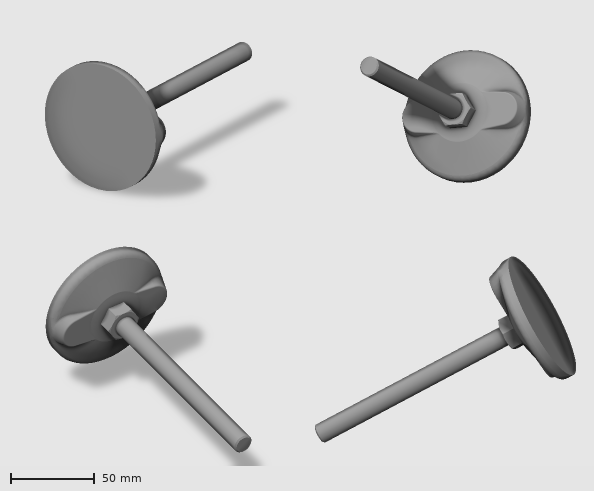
import cadquery as cq
import math

TOTAL_LENGTH = 155.0
SLOPE_ANGLE = math.radians(20.0)

FOOT_RADIUS = 40.0
RIM_HEIGHT = 4.3
RIM_ROUND = 4.0
CROWN_BASE = 15.2
CROWN_RADIUS = 124.0

LUG_CENTER = 27.1
LUG_TOP_RADIUS = 10.0
LUG_FLANK_ANGLE = math.radians(7.0)
LUG_EDGE_ROUND = 1.0
LUG_ROOT_ROUND = 1.0

ROD_RADIUS = 6.0
ROD_CHAMFER = 1.0
HEX_ACROSS_FLATS = 19.0
HEX_ACROSS_CORNERS = HEX_ACROSS_FLATS / math.cos(math.radians(30.0))
HEX_CHAMFER_ANGLE = math.radians(30.0)
SEAT_HEIGHT = 15.8
HEX_TOP = 25.0

CONE_FOOT_RADIUS = FOOT_RADIUS - RIM_ROUND * (1 - math.sin(SLOPE_ANGLE))
CONE_FOOT_HEIGHT = RIM_HEIGHT + RIM_ROUND * math.cos(SLOPE_ANGLE)
CROWN_BASE_RADIUS = CONE_FOOT_RADIUS - (CROWN_BASE - CONE_FOOT_HEIGHT) / math.tan(SLOPE_ANGLE)

BLANK_RADIUS = 1.5 * FOOT_RADIUS
BLANK_TOP = 1.05 * CROWN_BASE
BLANK_BOTTOM = CROWN_BASE - BLANK_RADIUS * math.tan(SLOPE_ANGLE)
RIM_SAMPLE = 0.3
TOLERANCE = 0.002


def make_blank_cone():
    """Turn the cone of the pad, carried on to its tip and past the rim."""
    tip = CROWN_BASE + CROWN_BASE_RADIUS * math.tan(SLOPE_ANGLE)
    edge = tip - BLANK_RADIUS * math.tan(SLOPE_ANGLE)
    return (
        cq.Workplane("XY")
        .polyline([(0, BLANK_BOTTOM), (BLANK_RADIUS, BLANK_BOTTOM), (BLANK_RADIUS, edge), (0, tip)])
        .close()
        .revolve(360, (0, 0, 0), (0, 1, 0))
    )


def make_blank_bar():
    """Make one drafted bar, widest in the middle and round at both ends, which become the lugs."""
    end_radius = LUG_TOP_RADIUS + (CROWN_BASE - BLANK_BOTTOM) * math.tan(SLOPE_ANGLE)
    end_x = LUG_CENTER + end_radius
    tangent_x = LUG_CENTER + end_radius * math.sin(LUG_FLANK_ANGLE)
    tangent_z = end_radius * math.cos(LUG_FLANK_ANGLE)
    middle_z = tangent_z + tangent_x * math.tan(LUG_FLANK_ANGLE)
    return (
        cq.Workplane("XZ", origin=(0, BLANK_BOTTOM, 0))
        .moveTo(0, middle_z)
        .lineTo(tangent_x, tangent_z)
        .threePointArc((end_x, 0), (tangent_x, -tangent_z))
        .lineTo(0, -middle_z)
        .lineTo(-tangent_x, -tangent_z)
        .threePointArc((-end_x, 0), (-tangent_x, tangent_z))
        .close()
        .extrude(BLANK_BOTTOM - BLANK_TOP, taper=math.degrees(SLOPE_ANGLE))
    )


def is_bar_joint(edge):
    """Tell whether an edge of the blank lies where the bar comes out of the cone."""
    return edge.geomType() in ("HYPERBOLA", "BSPLINE") and edge.BoundingBox().ymin > 0


def is_upper_rim(edge):
    """Tell whether an edge of the pad runs round its cylinder, above the underside."""
    box = edge.BoundingBox()
    point = edge.positionAt(RIM_SAMPLE)
    on_cylinder = math.hypot(point.x, point.z) > FOOT_RADIUS - TOLERANCE
    return on_cylinder and box.ymin > 0 and box.ymax < CONE_FOOT_HEIGHT


def make_pad():
    """Join cone and bar with hollow roots, trim them to the pad, then round rim and lug edges."""
    blank = make_blank_cone().union(make_blank_bar())
    bar_joints = [edge for edge in blank.edges().vals() if is_bar_joint(edge)]
    blank = blank.newObject(bar_joints).fillet(LUG_ROOT_ROUND)

    pad = blank.intersect(cq.Workplane("XZ").circle(FOOT_RADIUS).extrude(-CROWN_BASE))
    upper_rim = [edge for edge in pad.edges().vals() if is_upper_rim(edge)]
    pad = pad.newObject(upper_rim).fillet(RIM_ROUND)
    return pad.faces(">Y").edges().fillet(LUG_EDGE_ROUND)


def make_crown():
    """Turn the shallow spherical cap that closes the cone."""
    center = CROWN_BASE - math.sqrt(CROWN_RADIUS**2 - CROWN_BASE_RADIUS**2)
    half_angle = math.asin(CROWN_BASE_RADIUS / CROWN_RADIUS) / 2
    middle = (CROWN_RADIUS * math.sin(half_angle), center + CROWN_RADIUS * math.cos(half_angle))
    return (
        cq.Workplane("XY")
        .moveTo(0, CROWN_BASE)
        .lineTo(CROWN_BASE_RADIUS, CROWN_BASE)
        .threePointArc(middle, (0, center + CROWN_RADIUS))
        .close()
        .revolve(360, (0, 0, 0), (0, 1, 0))
    )


def make_hexagon():
    """Make the plain hexagonal prism of the collar."""
    return (
        cq.Workplane("XZ", origin=(0, SEAT_HEIGHT, 0))
        .polygon(6, HEX_ACROSS_CORNERS)
        .extrude(SEAT_HEIGHT - HEX_TOP)
    )


def make_foot():
    """Put the crown on the pad and sink the seat for the collar into it."""
    return make_pad().union(make_crown()).cut(make_hexagon())


def make_stud():
    """Make the rod and its hexagonal collar, whose upper corners are turned to a cone."""
    corner_overhang = (HEX_ACROSS_CORNERS - HEX_ACROSS_FLATS) / 2
    corner_cone = (
        cq.Workplane("XZ", origin=(0, SEAT_HEIGHT, 0))
        .circle(HEX_ACROSS_CORNERS / 2)
        .extrude(SEAT_HEIGHT - HEX_TOP)
        .faces(">Y")
        .chamfer(corner_overhang * math.tan(HEX_CHAMFER_ANGLE), corner_overhang)
    )
    rod = (
        cq.Workplane("XZ", origin=(0, SEAT_HEIGHT, 0))
        .circle(ROD_RADIUS)
        .extrude(SEAT_HEIGHT - TOTAL_LENGTH)
        .faces(">Y")
        .chamfer(ROD_CHAMFER)
    )
    return make_hexagon().intersect(corner_cone).union(rod)


foot = make_foot()
stud = make_stud()
result = cq.Compound.makeCompound([foot.solids().val(), stud.solids().val()])